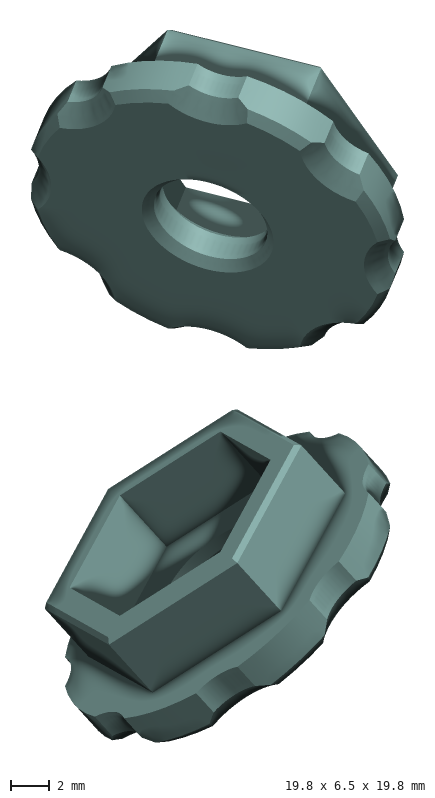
import cadquery as cq
import math

overall_width = 19.81
total_depth = 6.5
flange_depth = 2.5
rim_chamfer = 0.5

notch_count = 8
notch_radius = 2.5
notch_center_radius = 12.0
notch_flare = 1.0

boss_across_flats = 14.5
boss_chamfer = 0.25
socket_across_flats = 11.35

bore_diameter = 6.2
bore_chamfer = 0.5

flange_radius = math.sqrt(
    notch_center_radius * (overall_width - notch_center_radius) + notch_radius**2
)


def plane_at(y):
    """Sketch plane facing +Y at the given depth."""
    return cq.Workplane(cq.Plane(origin=(0, y, 0), xDir=(1, 0, 0), normal=(0, 1, 0)))


def hex_prism(across_flats, start, end):
    """Hexagonal prism along Y with two corners on the X axis."""
    corner_diameter = across_flats / math.cos(math.pi / 6)
    return plane_at(start).polygon(6, corner_diameter).extrude(end - start)


def flared_cutter(radius, flare, depth):
    """Cylinder along Y, widened by a 45 degree cone at Y = 0."""
    cylinder = plane_at(0).circle(radius).extrude(depth)
    return cylinder.faces("<Y").workplane().circle(radius + flare).extrude(-flare, taper=45)


def make_flange():
    flange = plane_at(0).circle(flange_radius).extrude(flange_depth)
    flange = flange.faces("<Y").edges().chamfer(rim_chamfer)
    notch = flared_cutter(notch_radius, notch_flare, flange_depth)
    notch = notch.translate((notch_center_radius, 0, 0))
    for index in range(notch_count):
        angle = index * 360 / notch_count
        flange = flange.cut(notch.rotate((0, 0, 0), (0, 1, 0), angle))
    return flange


def make_boss():
    boss = hex_prism(boss_across_flats, flange_depth, total_depth)
    return boss.faces(">Y").edges().chamfer(boss_chamfer)


def make_bore():
    """Bore through the flange, chamfered at the front and at the socket floor."""
    bore = flared_cutter(bore_diameter / 2, bore_chamfer, flange_depth)
    back_flare = plane_at(flange_depth).circle(bore_diameter / 2 + bore_chamfer)
    return bore.union(back_flare.extrude(-bore_chamfer, taper=45))


socket = hex_prism(socket_across_flats, flange_depth, total_depth)

result = make_flange().union(make_boss()).cut(socket).cut(make_bore())